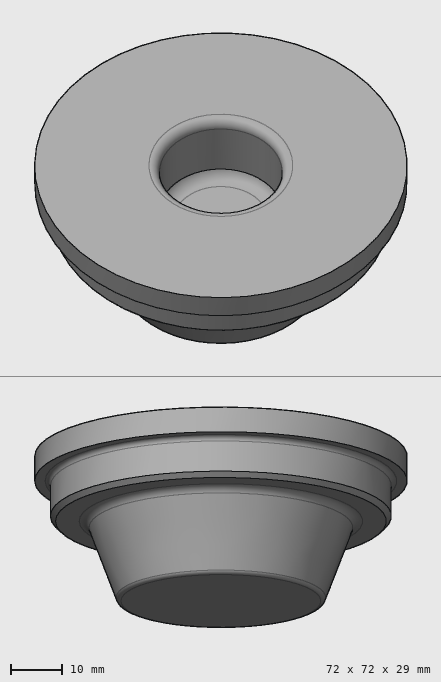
import cadquery as cq
import math

flange_radius = 36.0
flange_thickness = 5.0
body_radius = 33.0
body_bottom_depth = 13.0
total_depth = 29.0
body_chamfer = 1.0
flange_fillet = 1.0

nose_tip_radius = 20.0
nose_taper_degrees = 20.5
nose_root_fillet = 2.0
nose_tip_fillet = 1.0

bore_radius = 11.9
mouth_fillet = 2.0
bore_wall_depth = 13.0
floor_curve_radius = 3.5
floor_start_degrees = 25.0
floor_slope_degrees = 7.0

flange = cq.Workplane("XY").circle(flange_radius).extrude(-flange_thickness)
body = (
    cq.Workplane("XY")
    .circle(body_radius)
    .extrude(-body_bottom_depth)
    .faces("<Z")
    .chamfer(body_chamfer)
)

nose_height = total_depth - body_bottom_depth
nose_root_radius = nose_tip_radius + nose_height * math.tan(math.radians(nose_taper_degrees))
nose = (
    cq.Workplane("XZ")
    .moveTo(0, -body_bottom_depth)
    .lineTo(nose_root_radius, -body_bottom_depth)
    .lineTo(nose_tip_radius, -total_depth)
    .lineTo(0, -total_depth)
    .close()
    .revolve(360, (0, 0, 0), (0, 1, 0))
)


def edge_at(radius, depth):
    """Select the circular edge with this radius and depth."""
    margin = 0.035
    reach = radius + margin
    outer = cq.selectors.BoxSelector(
        (-reach, -reach, -depth - margin), (reach, reach, -depth + margin), boundingbox=True
    )
    reach = radius - margin
    inner = cq.selectors.BoxSelector(
        (-reach, -reach, -depth - margin), (reach, reach, -depth + margin), boundingbox=True
    )
    return outer - inner


solid = flange.union(body).union(nose)
solid = solid.edges(edge_at(body_radius, flange_thickness)).fillet(flange_fillet)
solid = solid.edges(edge_at(nose_root_radius, body_bottom_depth)).fillet(nose_root_fillet)
solid = solid.edges(edge_at(nose_tip_radius, total_depth)).fillet(nose_tip_fillet)


def floor_curve_point(angle_degrees):
    """Point on the floor arc where its tangent leans this far from vertical."""
    turn = math.radians(angle_degrees)
    start = math.radians(floor_start_degrees)
    radius = bore_radius - floor_curve_radius * (math.cos(start) - math.cos(turn))
    return radius, -bore_wall_depth - floor_curve_radius * (math.sin(turn) - math.sin(start))


floor_end_degrees = 90 - floor_slope_degrees
floor_edge = floor_curve_point(floor_end_degrees)
floor_middle = floor_curve_point((floor_start_degrees + floor_end_degrees) / 2)
floor_apex_z = floor_edge[1] - floor_edge[0] * math.tan(math.radians(floor_slope_degrees))
mouth_radius = bore_radius + mouth_fillet
mouth_mid_offset = mouth_fillet * math.sqrt(0.5)
bore = (
    cq.Workplane("XZ")
    .lineTo(mouth_radius, 0)
    .threePointArc(
        (mouth_radius - mouth_mid_offset, mouth_mid_offset - mouth_fillet),
        (bore_radius, -mouth_fillet),
    )
    .lineTo(bore_radius, -bore_wall_depth)
    .threePointArc(floor_middle, floor_edge)
    .lineTo(0, floor_apex_z)
    .close()
    .revolve(360, (0, 0, 0), (0, 1, 0))
)

result = solid.cut(bore)